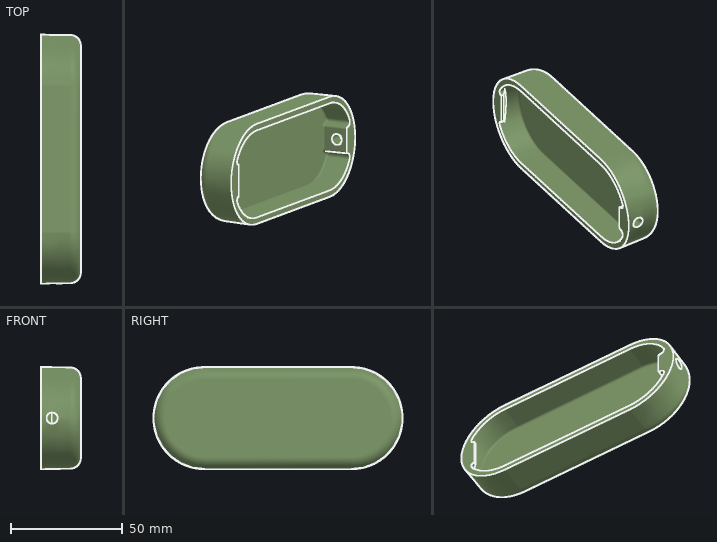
import cadquery as cq
import math

depth = 18.0
length = 112.0
height = 46.0
draft_angle = 1.0
back_edge_radius = 5.0

wall = 3.0
floor_thickness = 6.0
floor_fillet = 1.0

block_half_width = 6.1
block_corner_radius = 1.0
block_root_radius = 2.0

catch_half_width = 7.4
catch_face_y = 49.2
catch_depth = 5.0
catch_root_radius = 1.5
catch_face_depth = 1.25
catch_undercut_angle = 45.0

hole_diameter = 5.0
hole_x = 5.0

outer_radius = height / 2
inner_radius = outer_radius - wall
arc_center_y = length / 2 - outer_radius
cavity_depth = depth - floor_thickness


def root_arc(half_width, radius):
    """Arc blending the end wall into a side at z = half_width, in the +Y, +Z quarter.

    Returns its end on the wall, its middle and its end on the side.
    """
    center_z = half_width + radius
    wall_angle = math.asin(center_z / (inner_radius - radius))
    center_y = arc_center_y + (inner_radius - radius) * math.cos(wall_angle)
    middle_angle = (wall_angle - math.pi / 2) / 2
    on_wall = (
        center_y + radius * math.cos(wall_angle),
        center_z + radius * math.sin(wall_angle),
    )
    middle = (
        center_y + radius * math.cos(middle_angle),
        center_z + radius * math.sin(middle_angle),
    )
    return on_wall, middle, (center_y, half_width)


def wall_point(angle):
    """Point of the +Y end wall at the rim, by its angle from the Y axis."""
    return (
        arc_center_y + inner_radius * math.cos(angle),
        inner_radius * math.sin(angle),
    )


def flip_y(point):
    return (-point[0], point[1])


def flip_z(point):
    return (point[0], -point[1])


def make_body():
    body = (
        cq.Workplane("YZ")
        .slot2D(length, height)
        .extrude(depth, taper=draft_angle)
    )
    return body.faces(">X").edges().fillet(back_edge_radius)


def make_cavity():
    """Tapered pocket whose -Y end steps in around the screw block."""
    on_wall, root_middle, on_side = [flip_y(p) for p in root_arc(block_half_width, block_root_radius)]
    wall_angle = math.atan2(on_wall[1], -on_wall[0] - arc_center_y)
    wall_middle = flip_y(wall_point((wall_angle + math.pi / 2) / 2))

    block_face_y = on_side[0] + block_corner_radius
    face_end = (block_face_y, block_half_width - block_corner_radius)
    corner_inset = block_corner_radius * (1 - math.sqrt(0.5))
    corner_middle = (block_face_y - corner_inset, block_half_width - corner_inset)

    outline = (
        cq.Workplane("YZ")
        .moveTo(-arc_center_y, -inner_radius)
        .lineTo(arc_center_y, -inner_radius)
        .threePointArc(wall_point(0), (arc_center_y, inner_radius))
        .lineTo(-arc_center_y, inner_radius)
        .threePointArc(wall_middle, on_wall)
        .threePointArc(root_middle, on_side)
        .threePointArc(corner_middle, face_end)
        .lineTo(*flip_z(face_end))
        .threePointArc(flip_z(corner_middle), flip_z(on_side))
        .threePointArc(flip_z(root_middle), flip_z(on_wall))
        .threePointArc(flip_z(wall_middle), (-arc_center_y, -inner_radius))
        .close()
    )
    cavity = outline.extrude(cavity_depth, taper=draft_angle)
    return cavity.faces(">X").edges().fillet(floor_fillet)


def make_catch():
    """Lip at the +Y rim with blended sides and a sloping underside."""
    on_wall, root_middle, on_side = root_arc(catch_half_width, catch_root_radius)
    embedded_y = arc_center_y + inner_radius + wall / 2
    lip = (
        cq.Workplane("YZ")
        .moveTo(catch_face_y, -catch_half_width)
        .lineTo(*flip_z(on_side))
        .threePointArc(flip_z(root_middle), flip_z(on_wall))
        .threePointArc((embedded_y, 0), on_wall)
        .threePointArc(root_middle, on_side)
        .lineTo(catch_face_y, catch_half_width)
        .close()
        .extrude(catch_depth)
    )
    slope_rise = (catch_depth - catch_face_depth) * math.tan(math.radians(catch_undercut_angle))
    wedge = (
        cq.Workplane("XY")
        .moveTo(0, catch_face_y)
        .lineTo(catch_face_depth, catch_face_y)
        .lineTo(catch_depth, catch_face_y + slope_rise)
        .lineTo(catch_depth, length / 2)
        .lineTo(0, length / 2)
        .close()
        .extrude(outer_radius, both=True)
    )
    return lip.intersect(wedge)


def make_screw_hole():
    return (
        cq.Workplane("XZ")
        .center(hole_x, 0)
        .circle(hole_diameter / 2)
        .extrude(length / 2)
    )


result = make_body().cut(make_cavity()).union(make_catch()).cut(make_screw_hole())